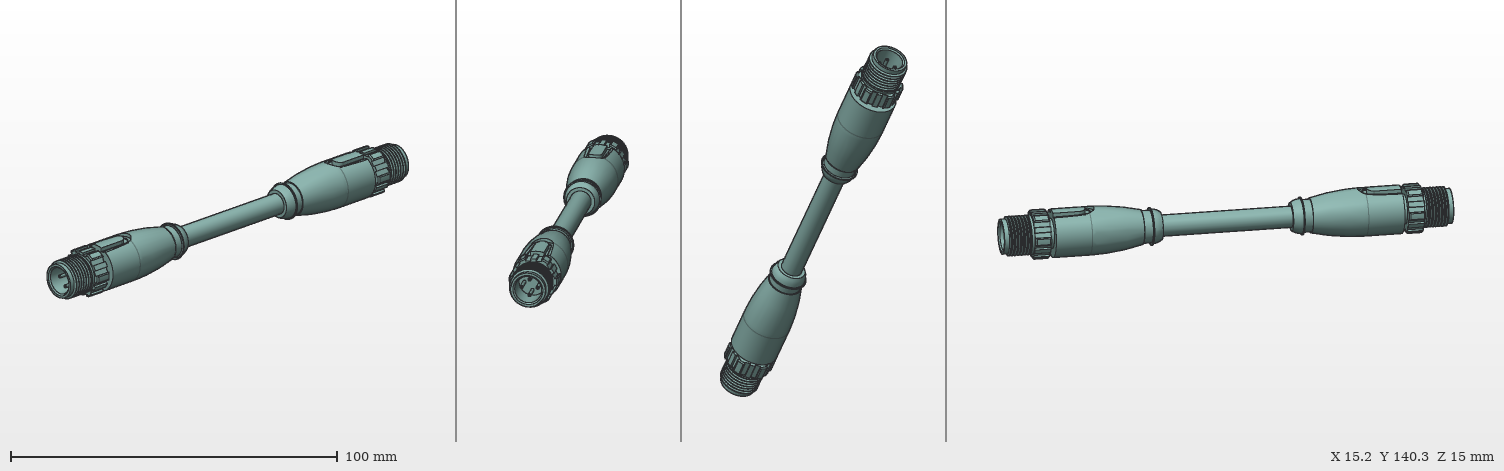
import math

import cadquery as cq

total_length = 140.3
tip_y = -total_length / 2

thread_radius = 6.1
thread_pitch = 1.0
thread_depth = 0.7
thread_start = 1.5
thread_end = 8.5
nose_radius = thread_radius - thread_depth
crest_width = 0.25
root_width = 0.2

bore_radius = 4.2
bore_depth = 8.0
bore_chamfer = 0.45
pin_count = 4
pin_radius = 0.5
pin_circle_radius = 2.5
pin_tip_chamfer = 0.25
pin_tip_station = 2.5

nut_start = 9.3
nut_length = 5.0
nut_end = nut_start + nut_length
nut_sides = 6
nut_across_flats = 14.0
nut_corner_radius = 7.6
nut_chamfer = 0.4
groove_inner_offset = 0.85
groove_outer_offset = 2.5
groove_depth = 0.7

neck_radius = 4.65
body_start = 15.7
body_radius = 7.5
taper_start = 27.0
taper_end = 43.8
taper_end_radius = 5.4

relief_neck_radius = 5.05
collar_start = 46.5
collar_width = 0.3
collar_radius = 5.8
bell_radius = 5.4
bell_end_radius = 4.4
relief_end = 49.8
cable_radius = 3.3

label_floor_height = 6.35
label_front_half_width = 4.2
label_rear_half_width = 3.3
label_shoulder = 25.5
label_end = 28.9
label_cutter_clearance = 0.5
channel_floor_height = 6.0
channel_front_half_width = 3.2
channel_rear_half_width = 2.7
channel_shoulder = 25.0
channel_end = 27.8

island_half_width = 2.1
island_shoulder = 24.2
island_end = 26.2


def front_plane(station):
    """Plane across the axis at a station, X to the right, Z up, facing -Y."""
    return cq.Workplane("XZ", origin=(0, tip_y + station, 0))


def rod(radius, start, end):
    """Cylinder on the Y axis between two stations."""
    return front_plane(start).circle(radius).extrude(start - end)


def make_thread():
    """Turned nose with one trapezoid ridge per pitch and a plain shoulder behind them."""
    half_base = (thread_pitch - root_width) / 2
    half_crest = crest_width / 2
    ridge_count = math.floor((thread_end - thread_start) / thread_pitch)
    profile = cq.Workplane("XY").moveTo(0, tip_y).lineTo(nose_radius, tip_y)
    for index in range(ridge_count):
        middle = tip_y + thread_start + half_base + index * thread_pitch
        profile = (
            profile.lineTo(nose_radius, middle - half_base)
            .lineTo(thread_radius, middle - half_crest)
            .lineTo(thread_radius, middle + half_crest)
            .lineTo(nose_radius, middle + half_base)
        )
    return (
        profile.lineTo(nose_radius, tip_y + thread_end)
        .lineTo(thread_radius, tip_y + thread_end)
        .lineTo(thread_radius, tip_y + nut_start)
        .lineTo(0, tip_y + nut_start)
        .close()
        .revolve(360, (0, 0, 0), (0, 1, 0))
    )


def make_nut():
    """Hexagon with flats up and down, rounded corners and two grooves along every flat."""
    corner_diameter = nut_across_flats / math.cos(math.pi / nut_sides)
    nut = front_plane(nut_start).polygon(nut_sides, corner_diameter).extrude(-nut_length)
    nut = nut.intersect(rod(nut_corner_radius, nut_start, nut_end).edges().chamfer(nut_chamfer))
    groove_width = groove_outer_offset - groove_inner_offset
    groove_offset = (groove_outer_offset + groove_inner_offset) / 2
    for flat in range(nut_sides):
        for side in (-1, 1):
            groove = (
                front_plane(nut_start)
                .center(side * groove_offset, nut_across_flats / 2)
                .rect(groove_width, 2 * groove_depth)
                .extrude(-nut_length)
                .rotate((0, 0, 0), (0, 1, 0), flat * 360 / nut_sides)
            )
            nut = nut.cut(groove)
    return nut


def make_grip():
    """Turned grip: straight front, curved taper, narrow neck, thin collar and rounded bell."""
    grip = (
        cq.Workplane("XY")
        .moveTo(0, tip_y + body_start)
        .lineTo(body_radius, tip_y + body_start)
        .lineTo(body_radius, tip_y + taper_start)
        .tangentArcPoint((taper_end_radius, tip_y + taper_end), relative=False)
        .lineTo(0, tip_y + taper_end)
        .close()
        .revolve(360, (0, 0, 0), (0, 1, 0))
    )
    bell = (
        cq.Workplane("XY")
        .moveTo(0, tip_y + collar_start)
        .lineTo(bell_radius, tip_y + collar_start)
        .lineTo(bell_radius, tip_y + collar_start + collar_width)
        .tangentArcPoint((bell_end_radius, tip_y + relief_end), relative=False)
        .lineTo(0, tip_y + relief_end)
        .close()
        .revolve(360, (0, 0, 0), (0, 1, 0))
    )
    collar = rod(collar_radius, collar_start, collar_start + collar_width)
    relief_neck = rod(relief_neck_radius, taper_end, collar_start)
    return grip.cut(make_label_groove()).union(relief_neck).union(collar).union(bell)


def tongue(floor_height, front_half_width, rear_half_width, shoulder, end):
    """Upright tongue-shaped block from a floor height to above the grip, rounded at its rear end."""
    block_height = body_radius + label_cutter_clearance - floor_height
    return (
        cq.Workplane("XY", origin=(0, tip_y, floor_height))
        .moveTo(-front_half_width, body_start)
        .lineTo(-rear_half_width, shoulder)
        .threePointArc((0, end), (rear_half_width, shoulder))
        .lineTo(front_half_width, body_start)
        .close()
        .extrude(block_height)
    )


def make_label_groove():
    """Material removed for the label: shelf and channel, less the island."""
    shelf = tongue(
        label_floor_height, label_front_half_width, label_rear_half_width, label_shoulder, label_end
    )
    channel = tongue(
        channel_floor_height,
        channel_front_half_width,
        channel_rear_half_width,
        channel_shoulder,
        channel_end,
    )
    island = tongue(
        channel_floor_height, island_half_width, island_half_width, island_shoulder, island_end
    )
    return shelf.union(channel).cut(island)


def cut_socket(connector):
    """Blind bore with a chamfered mouth and contact pins standing on its floor."""
    bore = rod(bore_radius, 0, bore_depth)
    mouth = (
        front_plane(0)
        .circle(bore_radius + bore_chamfer)
        .workplane(offset=-bore_chamfer)
        .circle(bore_radius)
        .loft()
    )
    pins = (
        front_plane(pin_tip_station)
        .polarArray(pin_circle_radius, 0, 360, pin_count)
        .circle(pin_radius)
        .extrude(pin_tip_station - nut_start)
        .faces("<Y")
        .edges()
        .chamfer(pin_tip_chamfer)
    )
    return connector.cut(bore).cut(mouth).union(pins)


def make_connector():
    """Connector at the -Y end, from its mating tip to the end of its bell."""
    connector = make_thread().union(make_nut())
    connector = connector.union(rod(neck_radius, nut_end, body_start))
    return cut_socket(connector.union(make_grip()))


connector = make_connector()
opposite_connector = connector.rotate((0, 0, 0), (0, 0, 1), 180)
cable = rod(cable_radius, relief_end, total_length - relief_end)
result = connector.union(cable).union(opposite_connector)